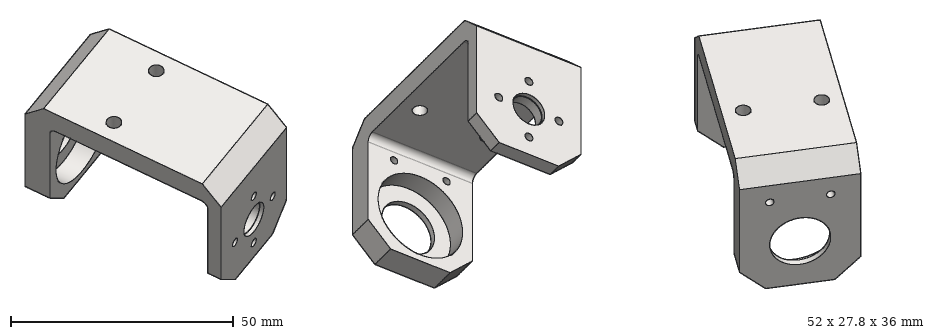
import cadquery as cq

length = 52.0
width = 27.8
height = 36.0
left_wall = 6.6
right_wall = 3.6
top_plate = 6.0
shoulder_chamfer = 5.0
foot_chamfer = 6.0
inner_fillet = 1.7
right_wall_inner_x = length - right_wall

axis_z = 13.0

left_bore_diameter = 14.0
left_bore_depth = 1.5
bearing_seat_diameter = 22.5
pin_hole_diameter = 1.9
pin_hole_spacing = 14.0
pin_hole_z = 25.95

right_bore_diameter = 8.0
right_bore_depth = 2.55
right_recess_diameter = 8.4
screw_hole_diameter = 2.1
screw_circle_diameter = 16.0
screw_count = 4

mount_hole_diameter = 3.5
mount_hole_x = 20.55
mount_hole_spacing = 18.0


def x_cylinder(diameter, start_x, depth, y=0.0, z=axis_z):
    """Cylinder along +X from start_x."""
    return (
        cq.Workplane("YZ", origin=(start_x, y, z))
        .circle(diameter / 2)
        .extrude(depth)
    )


def bracket_body():
    """U-shaped body with sloped shoulders, rounded inner corners and clipped feet."""
    body = (
        cq.Workplane("XY")
        .box(length, width, height, centered=(False, True, False))
        .edges("|Y and >Z")
        .chamfer(shoulder_chamfer)
        .edges("|X and <Z")
        .chamfer(foot_chamfer)
    )
    opening = (
        cq.Workplane("XY", origin=(left_wall, 0, 0))
        .box(
            right_wall_inner_x - left_wall,
            width,
            height - top_plate,
            centered=(False, True, False),
        )
        .edges("|Y and >Z")
        .fillet(inner_fillet)
    )
    return body.cut(opening)


def cut_left_wall(body):
    """Bore, bearing seat and pin holes of the left wall."""
    body = body.cut(x_cylinder(left_bore_diameter, 0, left_wall))
    seat_depth = left_wall - left_bore_depth
    body = body.cut(x_cylinder(bearing_seat_diameter, left_bore_depth, seat_depth))
    for side in (-1, 1):
        pin_y = side * pin_hole_spacing / 2
        body = body.cut(x_cylinder(pin_hole_diameter, 0, left_wall, pin_y, pin_hole_z))
    return body


def cut_right_wall(body):
    """Shaft bore, outer recess and screw holes of the right wall."""
    body = body.cut(x_cylinder(right_bore_diameter, right_wall_inner_x, right_wall))
    recess_x = right_wall_inner_x + right_bore_depth
    recess_depth = right_wall - right_bore_depth
    body = body.cut(x_cylinder(right_recess_diameter, recess_x, recess_depth))
    screw_holes = (
        cq.Workplane("YZ", origin=(right_wall_inner_x, 0, axis_z))
        .polarArray(screw_circle_diameter / 2, 0, 360, screw_count)
        .circle(screw_hole_diameter / 2)
        .extrude(right_wall)
    )
    return body.cut(screw_holes)


def cut_mount_holes(body):
    """Pair of vertical holes through the top plate."""
    holes = (
        cq.Workplane("XY", origin=(mount_hole_x, 0, height - top_plate))
        .rarray(0.5, mount_hole_spacing, 1, 2)
        .circle(mount_hole_diameter / 2)
        .extrude(top_plate)
    )
    return body.cut(holes)


result = cut_mount_holes(cut_right_wall(cut_left_wall(bracket_body())))